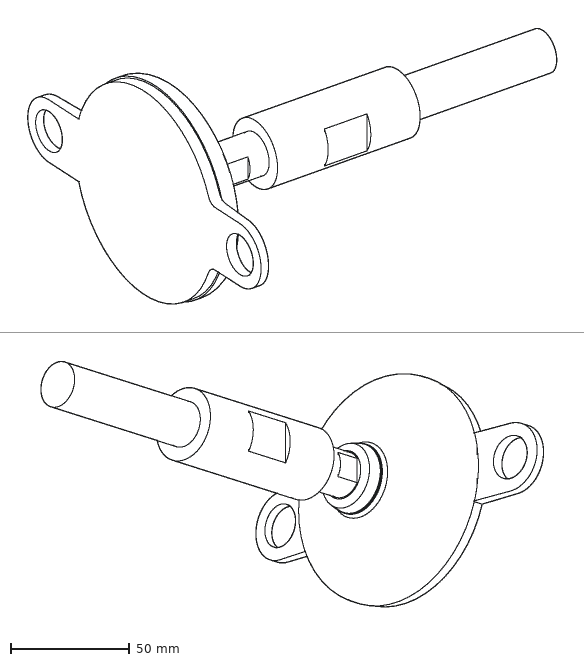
import cadquery as cq
import math


overall_length = 210.0
overall_width = 166.0
plate_radius = 49.1
plate_thickness = 5.7
ear_radius = 15.1
ear_tip_thickness = 4.0
ear_hole_diameter = 19.0
ear_center = overall_width / 2 - ear_radius
ear_fillet = 5.2

dome_radius = 50.0
dome_rim_top = 9.0
shoulder_radius = 43.5
shoulder_height = 16.2
cone_top_radius = 16.5
cone_top = 26.5

collar_radius = 15.3
collar_bottom = 28.4
collar_groove_depth = 0.2
collar_groove_bottom = 28.8
collar_groove_top = 29.5
collar_top_radius = 14.0
collar_top = 34.9
collar_bulge = 0.2
lip_radius = 10.5
lip_top = 36.5

spindle_diameter = 20.0
spindle_radius = spindle_diameter / 2
spindle_across_flats = 16.8
spindle_flats_top = 48.3

sleeve_diameter = 32.0
sleeve_bottom = 58.4
sleeve_top = 133.5
sleeve_across_flats = 26.5
sleeve_flats_bottom = 85.0
sleeve_flats_top = 107.5


def cylinder(radius, start, end):
    """Cylinder on the Y axis between two heights."""
    return cq.Workplane("XZ", origin=(0, start, 0)).circle(radius).extrude(start - end)


def wrench_flats(across_flats, diameter, bottom, top):
    """Two blocks whose removal leaves flats facing -X and +X."""
    center_y = (bottom + top) / 2
    block = cq.Workplane("XY").box(diameter, top - bottom, diameter)
    offset = (across_flats + diameter) / 2
    return block.translate((-offset, center_y, 0)).union(block.translate((offset, center_y, 0)))


def make_plate():
    """Round plate with tapered ears; only the +X ear blends into the disc."""
    tip = overall_width / 2
    profile = (
        cq.Workplane("XY")
        .polyline([
            (-tip, 0),
            (tip, 0),
            (tip, ear_tip_thickness),
            (plate_radius, plate_thickness),
            (-plate_radius, plate_thickness),
            (-tip, ear_tip_thickness),
        ])
        .close()
        .extrude(plate_radius, both=True)
    )
    ears = (
        cq.Workplane("XZ")
        .slot2D(overall_width, 2 * ear_radius)
        .extrude(-plate_thickness)
    )
    plate = cylinder(plate_radius, 0, plate_thickness).union(ears)

    corner_x = math.sqrt(plate_radius**2 - ear_radius**2)
    for side in (-1, 1):
        corner = cq.selectors.NearestToPointSelector((corner_x, plate_thickness / 2, side * ear_radius))
        plate = plate.edges("|Y").edges(corner).fillet(ear_fillet)

    holes = (
        cq.Workplane("XZ")
        .pushPoints([(-ear_center, 0), (ear_center, 0)])
        .circle(ear_hole_diameter / 2)
        .extrude(-plate_thickness)
    )
    return plate.intersect(profile).cut(holes)


def make_dome():
    """Dome and seal collar, revolved from a half profile."""
    groove_radius = collar_radius - collar_groove_depth
    collar_middle = (
        (collar_radius + collar_top_radius) / 2 + collar_bulge,
        (collar_groove_top + collar_top) / 2,
    )
    return (
        cq.Workplane("XY")
        .moveTo(0, plate_thickness)
        .lineTo(dome_radius, plate_thickness)
        .lineTo(dome_radius, dome_rim_top)
        .tangentArcPoint((shoulder_radius, shoulder_height), relative=False)
        .lineTo(cone_top_radius, cone_top)
        .lineTo(collar_radius, collar_bottom)
        .lineTo(collar_radius, collar_groove_bottom)
        .lineTo(groove_radius, collar_groove_bottom)
        .lineTo(groove_radius, collar_groove_top)
        .lineTo(collar_radius, collar_groove_top)
        .threePointArc(collar_middle, (collar_top_radius, collar_top))
        .lineTo(lip_radius, lip_top)
        .lineTo(0, lip_top)
        .close()
        .revolve(360, (0, 0, 0), (0, 1, 0))
    )


def make_foot():
    """Plate, dome and spindle as one solid."""
    spindle = cylinder(spindle_radius, plate_thickness, overall_length)
    flats = wrench_flats(spindle_across_flats, spindle_diameter, lip_top, spindle_flats_top)
    return make_plate().union(make_dome()).union(spindle.cut(flats))


def make_sleeve():
    """Sleeve bored to fit the spindle, with a pair of wrench flats."""
    sleeve = cylinder(sleeve_diameter / 2, sleeve_bottom, sleeve_top)
    bore = cylinder(spindle_radius, sleeve_bottom, sleeve_top)
    flats = wrench_flats(sleeve_across_flats, sleeve_diameter, sleeve_flats_bottom, sleeve_flats_top)
    return sleeve.cut(bore).cut(flats)


foot = make_foot()
sleeve = make_sleeve()
result = cq.Compound.makeCompound([foot.solids().val(), sleeve.solids().val()])